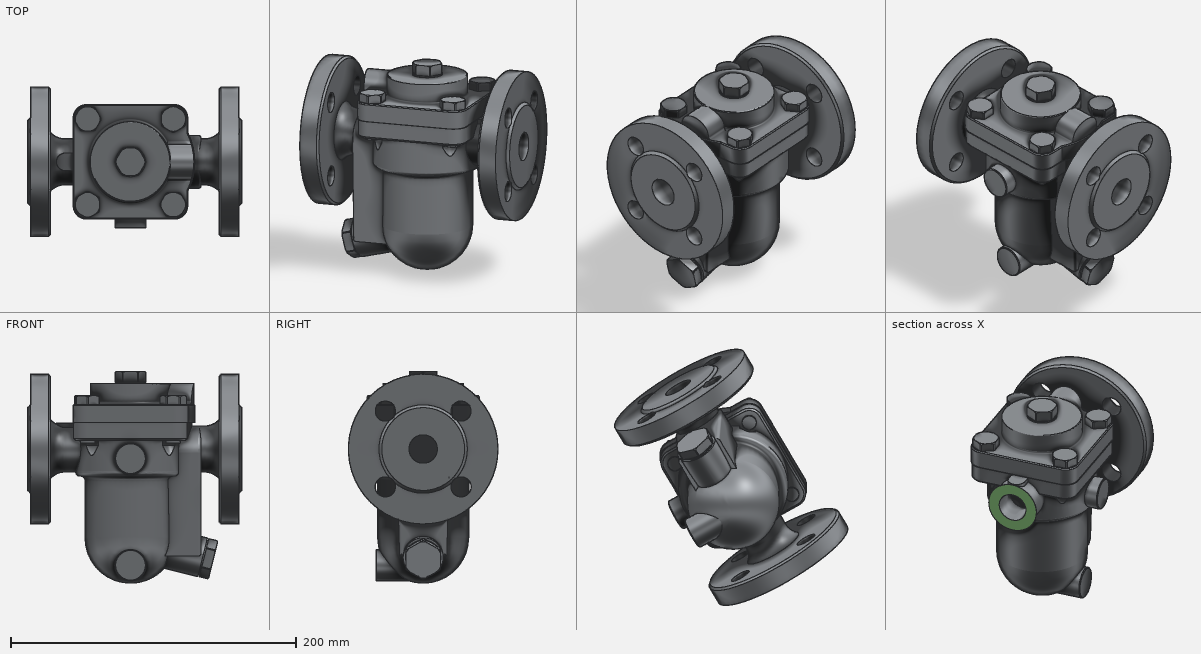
import cadquery as cq
import math


face_to_face = 150.0
flange_dia = 105.0
flange_thickness = 14.0
flange_chamfer = 1.5
raised_height = 2.0
raised_dia = 58.0
raised_base_dia = raised_dia + 2 * raised_height
bolt_circle_dia = 75.0
bolt_hole_dia = 14.1
bolt_hole_count = 4
bore_dia = 20.0
bore_depth = 37.5

neck_radius = 16.2
neck_root_radius = 20.7
neck_flare_length = 10.0
neck_end_x = 33.0
pad_width = 12.3
pad_tip_x = -54.9
pad_top_z = 18.2

body_x = -3.0
pot_radius = 32.0
dome_center_z = -62.1
collar_radius = 38.4
collar_bottom_z = -19.0
collar_round = 3.0

joint_bottom_z = 6.0
joint_z = 18.5
cover_top_z = 31.4
cover_half_width = 40.2
joint_half_width = 39.8
plate_corner_radius = 9.6
cover_bulge_radius = 45.2
joint_bulge_radius = 43.0
cover_edge_chamfer = 0.8
joint_edge_chamfer = 1.4

cap_radius = 28.2
cap_top_z = 46.0
cap_fillet = 1.8
cap_edge_round = 0.6
channel_radius = 12.0
channel_fillet = 2.4
plug_washer_dia = 21.0
plug_washer_height = 1.0
plug_flats = 19.0
plug_corner_dia = 21.6
plug_top_z = 54.5

bolt_offset = 30.0
bolt_flats = 16.8
bolt_corner_dia = 18.8
bolt_head_height = 6.0
bolt_shank_dia = 10.0
bolt_end_z = 4.0
relief_radius = 7.5
relief_shoulder_z = 2.4
relief_cone_height = 15.0

riser_half_width = 18.6
riser_bottom_half_width = 16.5
riser_top_z = 16.0
riser_bottom_z = -75.0
riser_end_x = 46.5
riser_edge_round = 2.0

boss_dia = 22.0
boss_chamfer = 0.6
upper_boss_z = -6.8
upper_boss_face_y = -46.5
lower_boss_z = -81.5
lower_boss_face_y = -33.2

drain_tilt = 14.0
drain_end_x = 47.5
drain_end_z = -75.9
drain_dia = 28.0
drain_length = 39.0
drain_gap = 1.0
drain_gap_dia = 24.8
drain_hex_flats = 24.3
drain_hex_corner_dia = 27.6
drain_hex_height = 6.6

hex_top_chamfer = 0.8


def cylinder(radius, bottom_z, top_z, x=body_x, y=0.0):
    """Upright cylinder."""
    return cq.Workplane("XY", origin=(x, y, bottom_z)).circle(radius).extrude(top_z - bottom_z)


def hex_head(flats, corner_dia, height, turn):
    """Hexagon head standing on the origin, its corners trimmed to a chamfered round blank."""
    hexagon = cq.Workplane("XY").polygon(6, flats / math.cos(math.pi / 6)).extrude(height)
    blank = cq.Workplane("XY").circle(corner_dia / 2).extrude(height).faces(">Z").chamfer(hex_top_chamfer)
    return hexagon.rotate((0, 0, 0), (0, 0, 1), turn).intersect(blank)


def make_pipe_end():
    """Flange and flared neck on the -X side."""
    face_x = -face_to_face / 2
    front_x = face_x + raised_height
    back_x = front_x + flange_thickness
    flare_end_x = back_x + neck_flare_length
    profile = (
        cq.Workplane("XY")
        .moveTo(face_x, 0)
        .lineTo(face_x, raised_dia / 2)
        .lineTo(front_x, raised_base_dia / 2)
        .lineTo(front_x, flange_dia / 2)
        .lineTo(back_x - flange_chamfer, flange_dia / 2)
        .lineTo(back_x, flange_dia / 2 - flange_chamfer)
        .lineTo(back_x, neck_root_radius)
    )
    flare_rise = neck_root_radius - neck_radius
    flare_radius = (neck_flare_length**2 + flare_rise**2) / (2 * flare_rise)
    half_angle = math.asin(neck_flare_length / flare_radius) / 2
    flare_mid = (
        flare_end_x - flare_radius * math.sin(half_angle),
        neck_radius + flare_radius * (1 - math.cos(half_angle)),
    )
    profile = (
        profile.threePointArc(flare_mid, (flare_end_x, neck_radius))
        .lineTo(-neck_end_x, neck_radius)
        .lineTo(-neck_end_x, 0)
        .close()
    )
    pipe_end = profile.revolve(360, (0, 0, 0), (1, 0, 0))
    bolt_holes = (
        cq.Workplane("YZ", origin=(face_x, 0, 0))
        .polarArray(bolt_circle_dia / 2, 45, 360, bolt_hole_count)
        .circle(bolt_hole_dia / 2)
        .extrude(back_x - face_x)
    )
    return pipe_end.cut(bolt_holes)


def make_bore():
    """Blind bore into the -X pipe end."""
    return cq.Workplane("YZ", origin=(-face_to_face / 2, 0, 0)).circle(bore_dia / 2).extrude(bore_depth)


def make_inlet_pad():
    """Flat pad with a round tip on top of the inlet neck."""
    tip_radius = pad_width / 2
    length = body_x - pad_tip_x - tip_radius
    tip = cylinder(tip_radius, 0, pad_top_z, x=pad_tip_x + tip_radius)
    bar = (
        cq.Workplane("XY", origin=(pad_tip_x + tip_radius, 0, 0))
        .rect(length, pad_width)
        .extrude(pad_top_z)
        .translate((length / 2, 0, 0))
    )
    return tip.union(bar)


def make_body():
    """Pot with a round bottom, blended into the wider collar."""
    profile = (
        cq.Workplane("XZ", origin=(body_x, 0, 0))
        .moveTo(0, joint_z)
        .lineTo(collar_radius, joint_z)
        .lineTo(collar_radius, collar_bottom_z + collar_round)
        .radiusArc((collar_radius - collar_round, collar_bottom_z), collar_round)
        .lineTo(pot_radius + collar_round, collar_bottom_z)
        .radiusArc((pot_radius, collar_bottom_z - collar_round), -collar_round)
        .lineTo(pot_radius, dome_center_z)
        .radiusArc((0, dome_center_z - pot_radius), pot_radius)
        .close()
    )
    return profile.revolve(360, (0, 0, 0), (0, 1, 0))


def make_riser():
    """Tapered slab on the +X side with a half-round top."""
    round_center_z = riser_top_z - riser_half_width
    section = (
        cq.Workplane("YZ", origin=(body_x, 0, 0))
        .moveTo(-riser_bottom_half_width, riser_bottom_z)
        .lineTo(-riser_half_width, round_center_z)
        .threePointArc((0, riser_top_z), (riser_half_width, round_center_z))
        .lineTo(riser_bottom_half_width, riser_bottom_z)
        .close()
    )
    return section.extrude(riser_end_x - body_x).faces(">X").edges().fillet(riser_edge_round)


def make_plate(half_width, bulge_radius, bottom_z, top_z):
    """Square plate with round corners and a round bulge on its +X side."""
    square = (
        cq.Workplane("XY", origin=(body_x, 0, bottom_z))
        .rect(2 * half_width, 2 * half_width)
        .extrude(top_z - bottom_z)
        .edges("|Z")
        .fillet(plate_corner_radius)
    )
    bulge_zone = (
        cq.Workplane("XY", origin=(body_x + bulge_radius / 2, 0, bottom_z))
        .rect(bulge_radius, 2 * (half_width - plate_corner_radius))
        .extrude(top_z - bottom_z)
    )
    bulge = cylinder(bulge_radius, bottom_z, top_z).intersect(bulge_zone)
    return square.union(bulge)


def make_joint_plate():
    """Body plate under the cover, chamfered along its lower edge."""
    plate = make_plate(joint_half_width, joint_bulge_radius, joint_bottom_z, joint_z)
    return plate.faces("<Z").edges().chamfer(joint_edge_chamfer)


def make_cover():
    """Cover plate with its round cap and the half-round channel toward +X."""
    plate = make_plate(cover_half_width, cover_bulge_radius, joint_z, cover_top_z)
    plate = plate.faces(">Z").edges().chamfer(cover_edge_chamfer)
    cap = cylinder(cap_radius, joint_z, cap_top_z).faces(">Z").edges().fillet(cap_edge_round)
    root = cq.selectors.BoxSelector(
        (body_x - cap_radius - 1.5, -cap_radius - 1.5, cover_top_z - 0.2),
        (body_x + cap_radius + 1.5, cap_radius + 1.5, cover_top_z + 0.2),
    )
    cover = plate.union(cap).edges(root).fillet(cap_fillet)

    channel_center_z = cap_top_z - channel_radius
    flare_top_z = cover_top_z + channel_fillet
    foot = channel_radius + channel_fillet
    channel = (
        cq.Workplane("YZ", origin=(body_x, 0, 0))
        .moveTo(-foot, joint_z)
        .lineTo(-foot, cover_top_z)
        .radiusArc((-channel_radius, flare_top_z), -channel_fillet)
        .lineTo(-channel_radius, channel_center_z)
        .threePointArc((0, cap_top_z), (channel_radius, channel_center_z))
        .lineTo(channel_radius, flare_top_z)
        .radiusArc((foot, cover_top_z), -channel_fillet)
        .lineTo(foot, joint_z)
        .close()
        .extrude(cover_bulge_radius)
    )
    channel_end = cylinder(cover_bulge_radius - cover_edge_chamfer, joint_z, cap_top_z)
    return cover.union(channel.intersect(channel_end))


def make_cover_plug():
    """Hex plug on a round washer, on top of the cap."""
    washer_top_z = cap_top_z + plug_washer_height
    head = hex_head(plug_flats, plug_corner_dia, plug_top_z - washer_top_z, 0)
    washer = cylinder(plug_washer_dia / 2, cap_top_z, washer_top_z)
    return washer.union(head.translate((body_x, 0, washer_top_z)))


def bolt_places():
    """Centre of each cover bolt and the turn of its head."""
    for side_x in (-1, 1):
        for side_y in (-1, 1):
            turn = 30 if side_x == side_y else 0
            yield body_x + side_x * bolt_offset, side_y * bolt_offset, turn


def make_bolt(x, y, turn):
    """Hex bolt through the cover, its shank showing below the body plate."""
    head = hex_head(bolt_flats, bolt_corner_dia, bolt_head_height, turn).translate((x, y, cover_top_z))
    shank = cylinder(bolt_shank_dia / 2, bolt_end_z, cover_top_z, x, y)
    return head.union(shank)


def make_bolt_relief(x, y):
    """Conical clearance under a bolt, cut into the collar wall."""
    bore = cylinder(relief_radius, relief_shoulder_z, joint_bottom_z, x, y)
    cone = cq.Solid.makeCone(
        relief_radius, 0, relief_cone_height, cq.Vector(x, y, relief_shoulder_z), cq.Vector(0, 0, -1)
    )
    return bore.union(cq.Workplane(cone))


def make_boss(center_z, face_y):
    """Round boss reaching from the body axis to its -Y face."""
    boss = cq.Workplane("XZ", origin=(body_x, 0, center_z)).circle(boss_dia / 2).extrude(-face_y)
    return boss.faces("<Y").chamfer(boss_chamfer)


def place_on_drain(shape):
    """Moves a shape built along +Z from the origin onto the end of the drain nozzle."""
    return shape.rotate((0, 0, 0), (0, 1, 0), 90 + drain_tilt).translate((drain_end_x, 0, drain_end_z))


def make_drain_nozzle():
    """Round nozzle from inside the dome to the drain plug."""
    return place_on_drain(cylinder(drain_dia / 2, -drain_length, 0, x=0))


def make_drain_plug():
    """Hex plug on a short round neck, closing the drain nozzle."""
    neck = cylinder(drain_gap_dia / 2, 0, drain_gap, x=0)
    head = hex_head(drain_hex_flats, drain_hex_corner_dia, drain_hex_height, 0)
    return place_on_drain(neck.union(head.translate((0, 0, drain_gap))))


inlet = make_pipe_end()
outlet = inlet.mirror("YZ")
casting = make_body()
for x, y, turn in bolt_places():
    casting = casting.cut(make_bolt_relief(x, y))
casting = casting.union(make_riser())
casting = casting.union(make_drain_nozzle())
casting = casting.union(make_boss(upper_boss_z, upper_boss_face_y))
casting = casting.union(make_boss(lower_boss_z, lower_boss_face_y))
casting = casting.union(inlet).union(outlet).union(make_inlet_pad())

result = casting.union(make_joint_plate()).union(make_cover())
result = result.union(make_cover_plug()).union(make_drain_plug())
for x, y, turn in bolt_places():
    result = result.union(make_bolt(x, y, turn))

bore = make_bore()
result = result.cut(bore).cut(bore.mirror("YZ"))